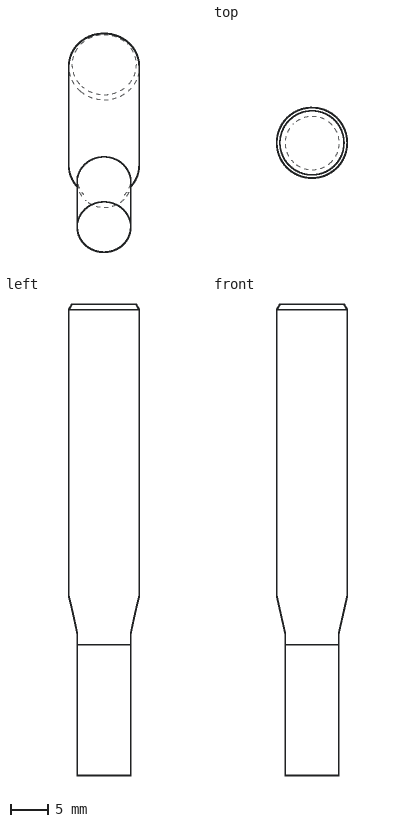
import cadquery as cq

total_length = 63.5
shank_radius = 4.75
neck_radius = 3.6
cutter_radius = neck_radius
cutter_length = 17.6
neck_length = 1.5
taper_length = 5.1
chamfer_height = 0.75
chamfer_width = 0.45

neck_top = cutter_length + neck_length
taper_top = neck_top + taper_length
chamfer_base = total_length - chamfer_height


def make_shank():
    """Shank with a chamfered top, tapering down to a short straight neck."""
    half_profile = (
        cq.Workplane("XZ")
        .moveTo(0, cutter_length)
        .lineTo(neck_radius, cutter_length)
        .lineTo(neck_radius, neck_top)
        .lineTo(shank_radius, taper_top)
        .lineTo(shank_radius, chamfer_base)
        .lineTo(shank_radius - chamfer_width, total_length)
        .lineTo(0, total_length)
        .close()
    )
    return half_profile.revolve(360, (0, 0, 0), (0, 1, 0))


def make_cutter():
    """Plain round cutter blank that meets the flat end of the neck."""
    return cq.Workplane("XY").circle(cutter_radius).extrude(cutter_length)


shank = make_shank()
cutter = make_cutter()

result = cq.Compound.makeCompound([shank.val(), cutter.val()])